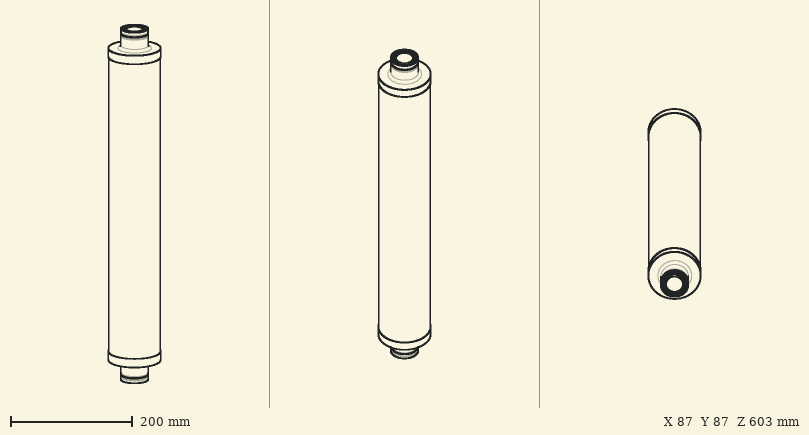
import cadquery as cq

total_length = 603.0
cap_diameter = 87.0
tube_diameter = 85.0
neck_diameter = 46.0

neck_length = 33.0
cap_length = 15.0
cap_edge_chamfer = 0.5
neck_root_radius = 5.0

neck_groove_distance = 8.5
neck_groove_width = 8.0
neck_groove_trough_width = 5.0
neck_groove_floor_width = 1.0
neck_groove_lip_depth = 0.2
neck_groove_depth = 0.9

rim_inner_radius = 22.5
rim_bevel_radius = 20.5
rim_bevel_depth = 0.5
ring_groove_outer_radius = 19.0
ring_groove_shoulder_depth = 2.0
ring_groove_floor_outer_radius = 18.0
ring_groove_floor_inner_radius = 16.0
ring_groove_depth = 2.5
disc_radius = 14.0
disc_depth = 0.5

cap_radius = cap_diameter / 2
tube_radius = tube_diameter / 2
neck_radius = neck_diameter / 2
end_z = total_length / 2
cap_face_z = end_z - neck_length
tube_end_z = cap_face_z - cap_length


def neck_groove_points():
    """(radius, height) corners of the neck groove, from its lower lip to its upper lip."""
    groove_z = end_z - neck_groove_distance
    lower_side = [
        (0, neck_groove_width / 2),
        (neck_groove_lip_depth, neck_groove_trough_width / 2),
        (neck_groove_depth, neck_groove_floor_width / 2),
    ]
    below = [(neck_radius - depth, groove_z - offset) for depth, offset in lower_side]
    above = [(neck_radius - depth, groove_z + offset) for depth, offset in reversed(lower_side)]
    return below + above


def end_face_points():
    """(radius, height) corners of the neck end, from its outer edge to the axis."""
    return [
        (neck_radius, end_z),
        (rim_inner_radius, end_z),
        (rim_bevel_radius, end_z - rim_bevel_depth),
        (ring_groove_outer_radius, end_z - ring_groove_shoulder_depth),
        (ring_groove_floor_outer_radius, end_z - ring_groove_depth),
        (ring_groove_floor_inner_radius, end_z - ring_groove_depth),
        (disc_radius, end_z - disc_depth),
        (0, end_z - disc_depth),
    ]


def make_upper_end():
    """The upper cap together with its neck."""
    profile = (
        cq.Workplane("XZ")
        .moveTo(0, tube_end_z)
        .lineTo(cap_radius, tube_end_z)
        .lineTo(cap_radius, cap_face_z - cap_edge_chamfer)
        .lineTo(cap_radius - cap_edge_chamfer, cap_face_z)
        .lineTo(neck_radius + neck_root_radius, cap_face_z)
        .radiusArc((neck_radius, cap_face_z + neck_root_radius), neck_root_radius)
        .polyline(neck_groove_points() + end_face_points(), includeCurrent=True)
        .close()
    )
    return profile.revolve(360, (0, 0, 0), (0, 1, 0))


tube = cq.Workplane("XY").circle(tube_radius).extrude(tube_end_z, both=True)
upper_end = make_upper_end()
lower_end = upper_end.mirror("XY")
result = tube.union(upper_end).union(lower_end).clean()